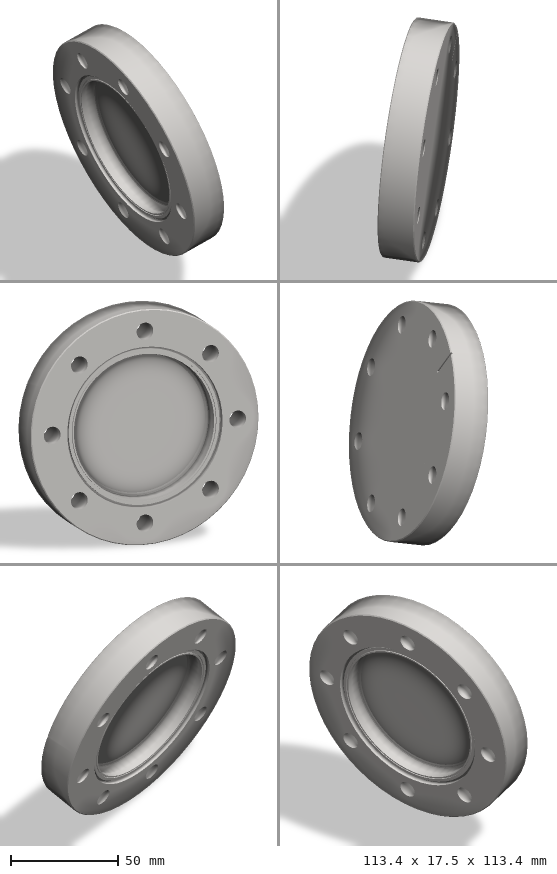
import cadquery as cq
import math

flange_diameter = 113.4
flange_thickness = 17.5
rim_chamfer = 0.5
front_y = -flange_thickness / 2
back_y = flange_thickness / 2

bolt_count = 8
bolt_hole_diameter = 8.3
bolt_circle_radius = 46.2

recess_diameter = 77.3
recess_depth = 2.4

sleeve_diameter = 75.1
sleeve_bore_diameter = 69.9
lip_groove_diameter = 72.1
lip_diameter = 71.3
lip_groove_depth = 0.7
sleeve_front_depth = 1.2

pane_depth = 9.5
outer_band_diameter = 69.1
inner_band_diameter = 68.4
pane_face_diameter = 66.9
inner_band_rise = 0.3
outer_band_rise = 0.5
pane_edge_rise = 0.8

leak_groove_angle = 157.5
leak_groove_width = 0.9
leak_groove_depth = 0.7
leak_groove_inner_radius = 41.3


def cylinder(diameter, start_y, end_y):
    """Solid cylinder on the Y axis between two Y positions."""
    plane = cq.Workplane("XZ", origin=(0, start_y, 0))
    return plane.circle(diameter / 2).extrude(start_y - end_y)


def revolve_profile(points):
    """Revolve a closed (radius, y) outline about the Y axis."""
    return cq.Workplane("XY").polyline(points).close().revolve(360, (0, 0, 0), (0, 1, 0))


def make_flange():
    body = cylinder(flange_diameter, front_y, back_y).edges().chamfer(rim_chamfer)
    body = body.cut(cylinder(recess_diameter, front_y, front_y + recess_depth))
    body = body.cut(cylinder(sleeve_diameter, front_y, back_y))
    for index in range(bolt_count):
        angle = math.radians(index * 360 / bolt_count)
        x = bolt_circle_radius * math.cos(angle)
        z = bolt_circle_radius * math.sin(angle)
        body = body.cut(cylinder(bolt_hole_diameter, front_y, back_y).translate((x, 0, z)))
    leak_groove_length = flange_diameter / 2 - leak_groove_inner_radius
    groove = cq.Workplane("XY").box(leak_groove_length, 2 * leak_groove_depth, leak_groove_width)
    groove = groove.translate((leak_groove_inner_radius + leak_groove_length / 2, back_y, 0))
    return body.cut(groove.rotate((0, 0, 0), (0, 1, 0), -leak_groove_angle))


def make_sleeve():
    sleeve_front_y = front_y + sleeve_front_depth
    return revolve_profile([
        (sleeve_diameter / 2, sleeve_front_y),
        (lip_groove_diameter / 2, sleeve_front_y),
        (lip_groove_diameter / 2, sleeve_front_y + lip_groove_depth),
        (lip_diameter / 2, sleeve_front_y + lip_groove_depth),
        (lip_diameter / 2, sleeve_front_y),
        (sleeve_bore_diameter / 2, sleeve_front_y),
        (sleeve_bore_diameter / 2, back_y),
        (sleeve_diameter / 2, back_y),
    ])


def make_pane():
    face_y = front_y + pane_depth
    return revolve_profile([
        (0, face_y),
        (pane_face_diameter / 2, face_y),
        (inner_band_diameter / 2, face_y - inner_band_rise),
        (outer_band_diameter / 2, face_y - outer_band_rise),
        (sleeve_bore_diameter / 2, face_y - pane_edge_rise),
        (sleeve_bore_diameter / 2, back_y),
        (0, back_y),
    ])


flange = make_flange()
sleeve = make_sleeve()
pane = make_pane()
result = cq.Compound.makeCompound([flange.val(), sleeve.val(), pane.val()])